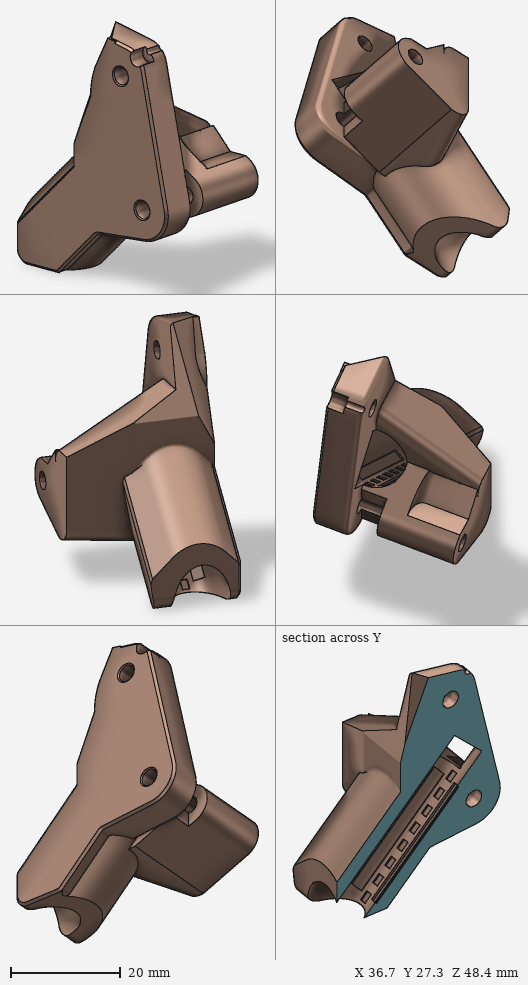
import cadquery as cq
import math

PLATE_THICK = 7.0
LEFT_FACE_X = 14.202
LEFT_FACE_TOP_Z = 31.5
PEAK_X, PEAK_Z = 18.7, 48.45
TOP_EDGE_FALL = 0.186
RIGHT_EDGE_TILT = math.radians(12.4)
BOTTOM_EDGE_TILT = math.radians(5)
TOP_CORNER_R = 4.85
FOOT_CORNER_R = 2.65
INNER_CORNER_R = 1.45
EDGE_BREAK = 0.5
BACK_EDGE_R = 0.85
FOOT_ABOVE = 5.0
FOOT_BELOW = 7.2

FACET_PEAK_Y = 6.45
FACET_LEFT_Y = 3.1
FACET_LOW_Z = 25.75

LIP_TOP = (22.4, 47.6)
LIP_SHOULDER = (19.3, 41.4)
LIP_MIDDLE = (18.45, 38.32)
LIP_BOTTOM = (18.25, 34.55)
LIP_RIGHT_X = 24.2
LIP_DEPTH = 2.9

NOTCH_X, BIG_NOTCH_Z, SMALL_NOTCH_Z = 29.45, 45.2, 45.75
BIG_NOTCH_R, BIG_NOTCH_DEPTH = 1.6, 3.45
SMALL_NOTCH_R = 0.65

PIVOT_X, PIVOT_Z = 30.75, 16.45
PIVOT_PLATE_R = 5.975
LUG_R = 4.1
LUG_START_Y = 12.1
LUG_GAP_X = 30.55
UPPER_HOLE_X, UPPER_HOLE_Z = 25.5, 41.0
HOLE_R = 1.7
HOLE_CHAMFER = 0.25

ARM_END_Y = 27.3
ARM_TOP_Z = 36.65
ARM_END_Z = 25.2
ARM_BOTTOM_LEFT_Z = 7.75
ARM_BOTTOM_R = 3.15
ARM_TOE_X, ARM_TOE_Z = 22.1, 8.35
ARM_TAPER_START_Y = 15.6
ARM_END_LEFT_X = 18.05
LEFT_BLEND_START_Y = 15.15
RIB_RIGHT_X = 23.95
RIB_EDGE_R = 2.4
DECK_TILT = math.radians(30)
LUG_LOW_ANGLE = math.radians(-65)
POCKET_START_Y = 16.8
POCKET_STEP_X = 28.05
POCKET_FILLET = 1.95

BORE_Y = 7.62
BORE_R = 5.65
BORE_LENGTH = 41.6
BARREL_R = 8.8
BARREL_LENGTH = 40.65
BARREL_BLEND_R = 0.4
UNDERSIDE_START = math.radians(-11)
UNDERSIDE_MIDDLE = math.radians(-50)
UNDERSIDE_END = math.radians(-130)
FRONT_FLAT = (EDGE_BREAK, 5.3)
CROWN_FRONT = (2.4, 6.65)
CROWN_TOP = (BORE_Y, 8.6)
CROWN_REAR = (13.95, 6.77)
REAR_SHOULDER = ((17.28, 4.6), (17.6, 3.85), (17.3, 2.4))

TOOTH_SIZE, TOOTH_PITCH, TOOTH_COUNT = 1.4, 2.735, 8
FIRST_TOOTH_X = 9.2
RECESS_DEPTH = 0.3
GROOVE_START, GROOVE_LENGTH = 7.75, 26.15
GROOVE_WIDTH, GROOVE_ANGLE = 2.25, 28.0

SQRT2 = math.sqrt(2)
FAR = 72.6


def xz_prism(outline, y_start, y_end):
    """Extrude a closed XZ outline between two Y positions."""
    return outline.extrude(-(y_end - y_start)).translate((0, y_start, 0))


def xz_polygon(points, y_start, y_end):
    return xz_prism(cq.Workplane("XZ").polyline(points).close(), y_start, y_end)


def y_cylinder(x, z, radius, y_start, y_end):
    return xz_prism(cq.Workplane("XZ").center(x, z).circle(radius), y_start, y_end)


def corner_block(x, y):
    """Large block on the +X, +Y side of a vertical line, standing on Z = 0."""
    return cq.Workplane("XY").box(FAR, FAR, FAR, centered=False).translate((x, y, 0))


def half_space(origin, normal):
    """Large block on the outer side of a plane."""
    return cq.Workplane(cq.Plane(origin=origin, normal=normal)).rect(2 * FAR, 2 * FAR).extrude(FAR)


def edge_near(x, y, z):
    """Selects the edge whose centre is nearest to a point."""
    return cq.selectors.NearestToPointSelector((x, y, z))


def around_pivot(radius, angle):
    """Point (X, Z) on a circle about the pivot, angle measured from +X towards +Z."""
    return (PIVOT_X + radius * math.cos(angle), PIVOT_Z + radius * math.sin(angle))


def barrel_plane(distance):
    """Plane square to the barrel axis: local x is +Y, local y is height above the axis."""
    offset = distance / SQRT2
    return cq.Plane(origin=(offset, 0, offset), xDir=(0, 1, 0), normal=(1, 0, 1))


def underside_point(angle):
    """Point (Y, height) on the round underside of the barrel section."""
    return (BORE_Y + BARREL_R * math.cos(angle), BARREL_R * math.sin(angle))


LUG_TOUCH = around_pivot(LUG_R, math.pi / 2 - DECK_TILT)


def deck_height(x):
    return LUG_TOUCH[1] + (LUG_TOUCH[0] - x) * math.tan(DECK_TILT)


def build_plate_body():
    right_top = around_pivot(PIVOT_PLATE_R, RIGHT_EDGE_TILT)
    right_mid = around_pivot(PIVOT_PLATE_R, -math.pi / 4)
    right_low = around_pivot(PIVOT_PLATE_R, BOTTOM_EDGE_TILT - math.pi / 2)
    lean = math.tan(RIGHT_EDGE_TILT)
    top_z_above_arc = PEAK_Z - TOP_EDGE_FALL * (right_top[0] - PEAK_X)
    rise = (top_z_above_arc - right_top[1]) / (1 - TOP_EDGE_FALL * lean)
    corner = (right_top[0] - rise * lean, right_top[1] + rise)
    heel_x = FOOT_BELOW * SQRT2
    slope = math.tan(BOTTOM_EDGE_TILT)
    armpit_x = (right_low[1] - slope * right_low[0] + heel_x) / (1 - slope)
    armpit = (armpit_x, armpit_x - heel_x)
    foot_top = FOOT_ABOVE * SQRT2

    outline = (
        cq.Workplane("XZ")
        .moveTo(0, 0)
        .lineTo(0, foot_top)
        .lineTo(LEFT_FACE_X, LEFT_FACE_X + foot_top)
        .lineTo(LEFT_FACE_X, LEFT_FACE_TOP_Z)
        .lineTo(PEAK_X, PEAK_Z)
        .lineTo(*corner)
        .lineTo(*right_top)
        .threePointArc(right_mid, right_low)
        .lineTo(*armpit)
        .lineTo(heel_x, 0)
        .close()
    )
    plate = xz_prism(outline, 0, PLATE_THICK)
    rounded_corners = (
        (corner, TOP_CORNER_R),
        ((0, 0), FOOT_CORNER_R),
        (armpit, INNER_CORNER_R),
        ((heel_x, 0), INNER_CORNER_R),
    )
    for (x, z), radius in rounded_corners:
        plate = plate.edges(edge_near(x, PLATE_THICK / 2, z)).fillet(radius)

    sharp_midpoints = (
        (LEFT_FACE_X / 2, LEFT_FACE_X / 2 + foot_top),
        (LEFT_FACE_X, (LEFT_FACE_X + foot_top + LEFT_FACE_TOP_Z) / 2),
        ((LEFT_FACE_X + PEAK_X) / 2, (LEFT_FACE_TOP_Z + PEAK_Z) / 2),
    )
    rim = plate.faces("<Y").edges()
    for x, z in sharp_midpoints:
        rim = rim.edges(cq.selectors.SubtractSelector(cq.Selector(), edge_near(x, 0, z)))
    plate = rim.chamfer(EDGE_BREAK)

    right_edge_x = (corner[0] + right_top[0]) / 2
    right_edge_z = (corner[1] + right_top[1]) / 2
    back_rim = plate.faces(">Y").edges(edge_near(right_edge_x, PLATE_THICK, right_edge_z))
    return back_rim.fillet(BACK_EDGE_R)


def cut_facet(plate):
    """Slanted facet across the upper left of the front face, to the right of the left face only."""
    peak = cq.Vector(PEAK_X, FACET_PEAK_Y, PEAK_Z)
    left = cq.Vector(LEFT_FACE_X, FACET_LEFT_Y, LEFT_FACE_TOP_Z)
    low = cq.Vector(LEFT_FACE_X, 0, FACET_LOW_Z)
    outside = half_space(peak.toTuple(), (left - peak).cross(low - left).toTuple())
    return plate.cut(outside.intersect(corner_block(LEFT_FACE_X, -FAR / 2)))


def add_lip(plate):
    lip_right_top_z = LIP_TOP[1] - TOP_EDGE_FALL * (LIP_RIGHT_X - LIP_TOP[0])
    lip = (
        cq.Workplane("XZ")
        .moveTo(*LIP_TOP)
        .lineTo(*LIP_SHOULDER)
        .threePointArc(LIP_MIDDLE, LIP_BOTTOM)
        .lineTo(LIP_RIGHT_X, LIP_BOTTOM[1])
        .lineTo(LIP_RIGHT_X, lip_right_top_z)
        .close()
    )
    return plate.union(xz_prism(lip, 0, LIP_DEPTH))


def build_plate():
    plate = add_lip(cut_facet(build_plate_body()))
    plate = plate.cut(y_cylinder(NOTCH_X, BIG_NOTCH_Z, BIG_NOTCH_R, 0, BIG_NOTCH_DEPTH))
    return plate.cut(y_cylinder(NOTCH_X, SMALL_NOTCH_Z, SMALL_NOTCH_R, 0, PLATE_THICK))


def build_rib():
    """Tall left part of the arm: sloping roof, slanted left side and a rounded right edge."""
    outline = [
        (LEFT_FACE_X, ARM_BOTTOM_LEFT_Z),
        (LEFT_FACE_X, LEFT_FACE_TOP_Z),
        (PEAK_X, PEAK_Z),
        (RIB_RIGHT_X, PEAK_Z),
        (RIB_RIGHT_X, PIVOT_Z),
        (ARM_TOE_X, ARM_TOE_Z),
    ]
    rib = xz_polygon(outline, PLATE_THICK, ARM_END_Y)
    roof_normal = (0, ARM_TOP_Z - ARM_END_Z, ARM_END_Y - PLATE_THICK)
    rib = rib.cut(half_space((0, PLATE_THICK, ARM_TOP_Z), roof_normal))

    taper_tilt = math.atan2(ARM_END_LEFT_X - LEFT_FACE_X, ARM_END_Y - ARM_TAPER_START_Y)
    for start_y, tilt in ((ARM_TAPER_START_Y, taper_tilt), (LEFT_BLEND_START_Y, taper_tilt / 2)):
        side_normal = (-math.cos(tilt), math.sin(tilt), 0)
        rib = rib.cut(half_space((LEFT_FACE_X, start_y, 0), side_normal))

    taper_mid_x = (LEFT_FACE_X + ARM_END_LEFT_X) / 2
    taper_mid_y = (ARM_TAPER_START_Y + ARM_END_Y) / 2
    rib = rib.edges(edge_near(taper_mid_x, taper_mid_y, ARM_BOTTOM_LEFT_Z)).fillet(ARM_BOTTOM_R)
    roof_mid_y = (PLATE_THICK + ARM_END_Y) / 2
    roof_mid_z = (ARM_TOP_Z + ARM_END_Z) / 2
    return rib.edges(edge_near(RIB_RIGHT_X, roof_mid_y, roof_mid_z)).fillet(RIB_EDGE_R)


def build_pocket():
    """Cutter with a 45 degree floor beside the rib, then level with the top of the lug."""
    step_z = PIVOT_Z + LUG_R
    outline = [
        (RIB_RIGHT_X, step_z + POCKET_STEP_X - RIB_RIGHT_X),
        (POCKET_STEP_X, step_z),
        (FAR, step_z),
        (FAR, FAR),
        (RIB_RIGHT_X, FAR),
    ]
    pocket = xz_polygon(outline, POCKET_START_Y, FAR)
    half_step = (POCKET_STEP_X - RIB_RIGHT_X) / 2
    floor_edge = edge_near(POCKET_STEP_X - half_step, POCKET_START_Y, step_z + half_step)
    return pocket.faces("<Y").edges(floor_edge).fillet(POCKET_FILLET)


def build_deck():
    """Lower part of the arm, right of the rib: sloping deck running into the round lug."""
    outline = (
        cq.Workplane("XZ")
        .moveTo(ARM_TOE_X, ARM_TOE_Z)
        .lineTo(RIB_RIGHT_X, PIVOT_Z)
        .lineTo(RIB_RIGHT_X, deck_height(RIB_RIGHT_X))
        .lineTo(*LUG_TOUCH)
        .threePointArc(around_pivot(LUG_R, 0), around_pivot(LUG_R, LUG_LOW_ANGLE))
        .close()
    )
    deck = xz_prism(outline, PLATE_THICK, ARM_END_Y)
    plate_gap = corner_block(LUG_GAP_X, LUG_START_Y - FAR)
    return deck.cut(plate_gap).cut(build_pocket())


def build_barrel():
    """Thick barrel with flattened shoulders, trimmed upright at the left and level below."""
    section = (
        cq.Workplane(barrel_plane(-BARREL_R))
        .moveTo(*FRONT_FLAT)
        .lineTo(*CROWN_FRONT)
        .threePointArc(CROWN_TOP, CROWN_REAR)
    )
    for point in REAR_SHOULDER:
        section = section.lineTo(*point)
    section = (
        section
        .lineTo(*underside_point(UNDERSIDE_START))
        .threePointArc(underside_point(UNDERSIDE_MIDDLE), underside_point(UNDERSIDE_END))
        .lineTo(EDGE_BREAK, -FOOT_BELOW)
        .close()
    )
    barrel = section.extrude(BARREL_LENGTH)
    trim = corner_block(0, 0).edges("|Y and <X and <Z").fillet(FOOT_CORNER_R)
    return barrel.intersect(trim)


def cut_bore(body):
    bore = cq.Workplane(barrel_plane(-BARREL_R)).center(BORE_Y, 0).circle(BORE_R)
    return body.cut(bore.extrude(BORE_LENGTH + BARREL_R))


def bore_recess(start, length, width, angle):
    """Bar along the bore that reaches just past its wall, turned about the axis by an angle."""
    reach = BORE_R + RECESS_DEPTH
    return (
        cq.Workplane(barrel_plane(start))
        .center(BORE_Y, 0)
        .transformed(rotate=(0, 0, angle))
        .center(0, -reach / 2)
        .rect(width, reach)
        .extrude(length)
    )


def cut_bore_recesses(body):
    tooth_length = TOOTH_SIZE * SQRT2
    for index in range(TOOTH_COUNT):
        centre = (FIRST_TOOTH_X + index * TOOTH_PITCH) * SQRT2 - BORE_R
        body = body.cut(bore_recess(centre - tooth_length / 2, tooth_length, TOOTH_SIZE, 0))
    for angle in (-GROOVE_ANGLE, GROOVE_ANGLE):
        body = body.cut(bore_recess(GROOVE_START, GROOVE_LENGTH, GROOVE_WIDTH, angle))
    return body


def cut_hole(body, x, z):
    """Through hole along Y with a countersunk mouth on the front face."""
    mouth_r = HOLE_R + HOLE_CHAMFER
    cone = cq.Workplane("XZ").center(x, z).circle(mouth_r).extrude(-mouth_r, taper=45)
    return body.cut(y_cylinder(x, z, HOLE_R, 0, ARM_END_Y)).cut(cone)


result = build_plate().union(build_rib().union(build_deck())).union(build_barrel())
crown_z = LEFT_FACE_X + CROWN_TOP[1] * SQRT2
result = result.edges(edge_near(LEFT_FACE_X, BORE_Y, crown_z)).fillet(BARREL_BLEND_R)
result = cut_bore_recesses(cut_bore(result))
for hole_x, hole_z in ((PIVOT_X, PIVOT_Z), (UPPER_HOLE_X, UPPER_HOLE_Z)):
    result = cut_hole(result, hole_x, hole_z)